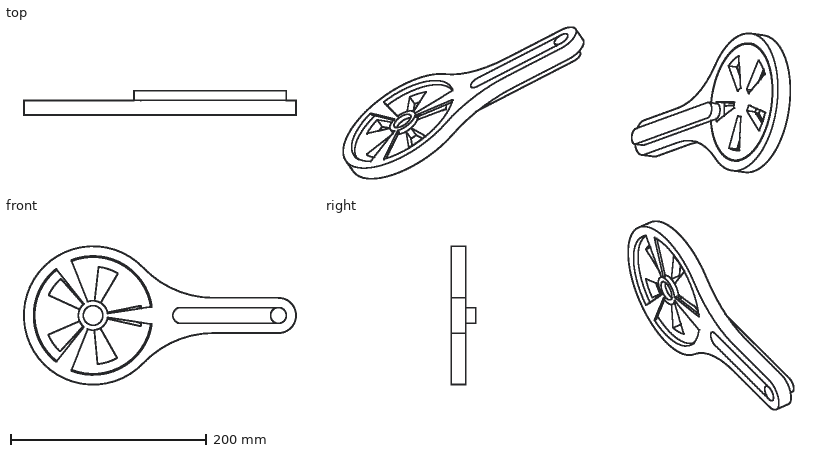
import cadquery as cq
import math

overall_length = 279.0
housing_thickness = 15.0
rim_diameter = 142.0
rim_radius = rim_diameter / 2
rim_bore_radius = 60.8
handle_radius = 18.0
neck_radius = 100.0
handle_end_x = overall_length - rim_radius - handle_radius

spoke_count = 3
spoke_half_angle = 8.5
spoke_thickness = 2.5
hub_radius = 15.0
hub_bore_radius = 10.0

disc_radius = 60.0
disc_thickness = 10.0
disc_front_y = housing_thickness - disc_thickness
window_count = 5
window_half_angle = 12.0
window_outer_radius = 50.0
disc_turn = -0.6

slider_radius = 8.0
slider_thickness = 10.0
slot_start_x = 89.8
slider_start_x = 50.0


def prism(sketch, start_y, depth):
    """Extrude an XZ workplane outline towards +Y, starting at start_y."""
    return sketch.extrude(-depth).translate((0, start_y, 0))


def cylinder(radius, start_y, depth, center_x=0.0):
    return prism(cq.Workplane("XZ").center(center_x, 0).circle(radius), start_y, depth)


def polar(radius, angle):
    """Point at an angle in degrees above +X."""
    return (radius * math.cos(math.radians(angle)), radius * math.sin(math.radians(angle)))


def sector(inner_radius, outer_radius, middle_angle, half_angle, start_y, depth):
    """Part of a ring bounded by two radial edges."""
    low = middle_angle - half_angle
    high = middle_angle + half_angle
    outline = (
        cq.Workplane("XZ")
        .moveTo(*polar(inner_radius, low))
        .lineTo(*polar(outer_radius, low))
        .threePointArc(polar(outer_radius, middle_angle), polar(outer_radius, high))
        .lineTo(*polar(inner_radius, high))
        .threePointArc(polar(inner_radius, middle_angle), polar(inner_radius, low))
        .close()
    )
    return prism(outline, start_y, depth)


def round_ended_bar(start_x, end_x, radius, start_y, depth):
    """Bar along X whose round ends are centred at start_x and end_x."""
    middle_x = (start_x + end_x) / 2
    outline = cq.Workplane("XZ").center(middle_x, 0).slot2D(end_x - start_x + 2 * radius, 2 * radius)
    return prism(outline, start_y, depth)


def housing_outline():
    """Round head joined to the handle by two arcs tangent to both."""
    neck_z = handle_radius + neck_radius
    center_distance = rim_radius + neck_radius
    neck_x = math.sqrt(center_distance**2 - neck_z**2)
    neck_angle = math.degrees(math.atan2(neck_z, neck_x))
    head_x, head_z = polar(rim_radius, neck_angle)
    neck_arc_middle = (neck_angle + 180 + 270) / 2
    mid_dx, mid_dz = polar(neck_radius, neck_arc_middle)
    mid_x = neck_x + mid_dx
    mid_z = neck_z + mid_dz
    return (
        cq.Workplane("XZ")
        .moveTo(head_x, head_z)
        .threePointArc((mid_x, mid_z), (neck_x, handle_radius))
        .lineTo(handle_end_x, handle_radius)
        .threePointArc((handle_end_x + handle_radius, 0), (handle_end_x, -handle_radius))
        .lineTo(neck_x, -handle_radius)
        .threePointArc((mid_x, -mid_z), (head_x, -head_z))
        .threePointArc((-rim_radius, 0), (head_x, head_z))
        .close()
    )


def make_housing():
    body = prism(housing_outline(), 0, housing_thickness)
    body = body.cut(cylinder(rim_bore_radius, 0, housing_thickness))
    body = body.cut(round_ended_bar(slot_start_x, handle_end_x, slider_radius, 0, housing_thickness))
    body = body.union(cylinder(hub_radius, 0, disc_front_y))
    spoke_root_radius = (hub_bore_radius + hub_radius) / 2
    spoke_tip_radius = (rim_bore_radius + rim_radius) / 2
    for index in range(spoke_count):
        angle = index * 360 / spoke_count
        spoke = sector(spoke_root_radius, spoke_tip_radius, angle, spoke_half_angle, 0, spoke_thickness)
        body = body.union(spoke)
    return body.cut(cylinder(hub_bore_radius, 0, disc_front_y))


def make_disc():
    body = cylinder(disc_radius, disc_front_y, disc_thickness)
    for index in range(window_count):
        angle = disc_turn + index * 360 / window_count
        body = body.cut(
            sector(hub_radius, window_outer_radius, angle, window_half_angle, disc_front_y, disc_thickness)
        )
    return body


def make_slider():
    bar = round_ended_bar(slider_start_x, handle_end_x, slider_radius, housing_thickness, slider_thickness)
    pin = cylinder(slider_radius, 0, housing_thickness, handle_end_x)
    return bar.union(pin)


housing = make_housing()
disc = make_disc()
slider = make_slider()

result = cq.Compound.makeCompound([housing.val(), disc.val(), slider.val()])